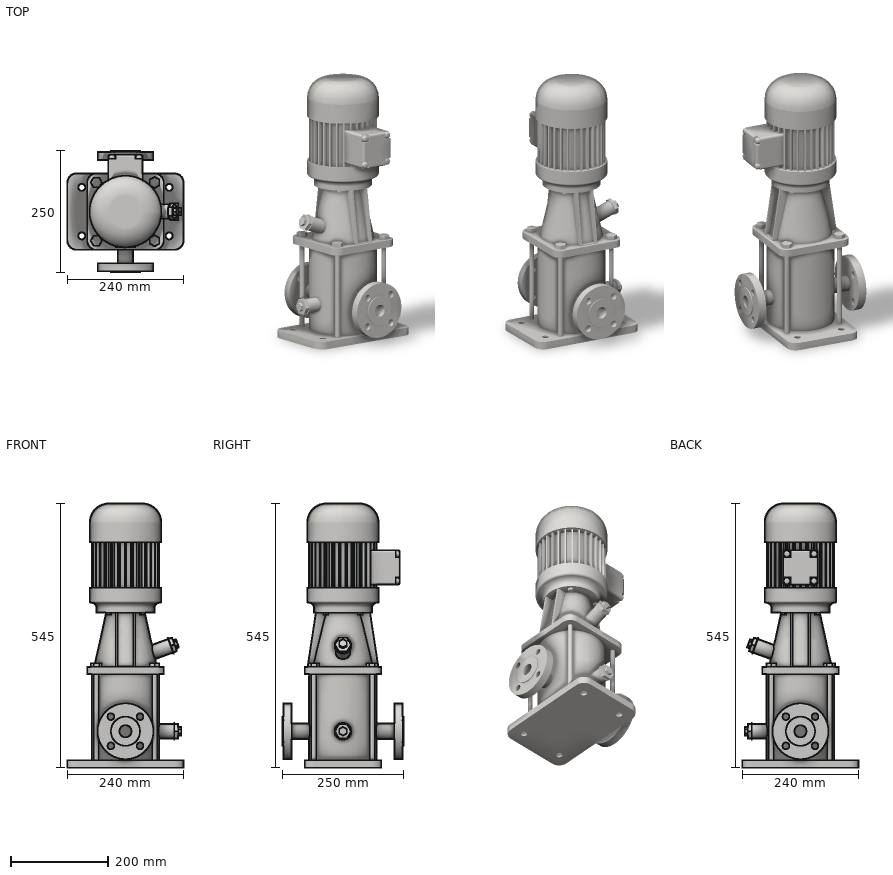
import cadquery as cq
import math

BASE_TOP = 16.0
HEAD_PLATE_BOTTOM = 193.0
HEAD_PLATE_TOP = 208.0
LANTERN_TOP = 320.0
MOTOR_FLANGE_TOP = 330.0
MOTOR_BOTTOM = 340.0
FINS_BOTTOM = 371.0
FINS_TOP = 465.0
TOTAL_HEIGHT = 545.0

BOLT_START_ANGLE = 45
BOLT_COUNT = 4
HEX_FLAT_ANGLE = 30

BASE_LENGTH = 240.0
PLATE_WIDTH = 158.0
PLATE_CORNER_RADIUS = 20.0
BASE_HOLE_DIAMETER = 14.0
BASE_HOLE_X = 90.0
BASE_HOLE_Y = 50.0

TUBE_RADIUS = 70.0
ROD_DIAMETER = 10.0
ROD_OFFSET = 60.0
ROD_NUT_ACROSS_FLATS = 20.0
ROD_NUT_HEIGHT = 8.0

PORT_HEIGHT = 75.5
PORT_END = 125.0
PORT_PIPE_DIAMETER = 32.0
PORT_BORE_DIAMETER = 25.0
FLANGE_DIAMETER = 115.0
FLANGE_THICKNESS = 17.0
RAISED_FACE_DIAMETER = 60.0
RAISED_FACE_HEIGHT = 2.0
FLANGE_HOLE_DIAMETER = 14.0
FLANGE_HOLE_CIRCLE = 85.0

LANTERN_BOTTOM_RADIUS = 65.0
LANTERN_TOP_RADIUS = 40.0
RIB_THICKNESS = 4.0
RIB_OUTER_X = 20.0
RIB_BOTTOM_REACH = 73.0
RIB_TOP_REACH = 56.0
RIB_LEDGE_REACH = 72.0
RIB_LEDGE_HEIGHT = 1.5

MOTOR_RADIUS = 74.0
MOTOR_FLANGE_RADIUS = 60.0
MOTOR_NECK_RADIUS = MOTOR_BOTTOM - MOTOR_FLANGE_TOP
MOTOR_LOWER_ROUND = 4.0
DOME_RADIUS = 40.0
MOTOR_CORE_RADIUS = 60.0
FIN_TIP_RADIUS = 70.0
FIN_THICKNESS = 3.0
FIN_COUNT = 30
FLANGE_BOLT_CIRCLE = 100.0
FLANGE_BOLT_ACROSS_FLATS = 10.0
FLANGE_BOLT_HEIGHT = 5.0

BOX_SIZE = 71.0
BOX_CENTER_HEIGHT = 413.0
BOX_END = 117.0
BOX_SIDE_ROUND = 5.0
BOX_COVER_ROUND = 4.5
COVER_RECESS_SIZE = 15.0
COVER_RECESS_DEPTH = 8.0
COVER_SCREW_DIAMETER = 14.0
COVER_SCREW_ROUND = 4.5

STUB_DIAMETER = 30.0
WASHER_DIAMETER = 34.6
WASHER_THICKNESS = 0.6
PLUG_HEX_ACROSS_FLATS = 30.0
PLUG_HEX_END = 8.5
PLUG_TIP_ACROSS_FLATS = 15.6
PLUG_TIP_END = 15.0
DRAIN_STUB_END = 100.0
DRAIN_STUB_LENGTH = 40.0
VENT_STUB_END_X = 93.0
VENT_STUB_END_Z = 251.6
VENT_STUB_LENGTH = 50.0
VENT_TILT = 20.0


def square_points(half_x, half_y):
    return [(sx * half_x, sy * half_y) for sx in (-1, 1) for sy in (-1, 1)]


def hexagon(plane, across_flats, height, turn=0.0):
    """Hexagonal prism whose corners lie on the plane's X direction before it is turned."""
    across_corners = across_flats / math.cos(math.radians(HEX_FLAT_ANGLE))
    return cq.Workplane(plane).transformed(rotate=(0, 0, turn)).polygon(6, across_corners).extrude(height)


def rounded_plate(length, bottom, top):
    plate = cq.Workplane("XY").workplane(offset=bottom).rect(length, PLATE_WIDTH).extrude(top - bottom)
    return plate.edges("|Z").fillet(PLATE_CORNER_RADIUS)


def make_base():
    holes = (
        cq.Workplane("XY")
        .pushPoints(square_points(BASE_HOLE_X, BASE_HOLE_Y))
        .circle(BASE_HOLE_DIAMETER / 2)
        .extrude(BASE_TOP)
    )
    return rounded_plate(BASE_LENGTH, 0, BASE_TOP).cut(holes)


def make_pump_tube():
    return cq.Workplane("XY").circle(TUBE_RADIUS).extrude(HEAD_PLATE_TOP)


def make_tie_rods():
    rods = (
        cq.Workplane("XY")
        .pushPoints(square_points(ROD_OFFSET, ROD_OFFSET))
        .circle(ROD_DIAMETER / 2)
        .extrude(HEAD_PLATE_TOP)
    )
    for x, y in square_points(ROD_OFFSET, ROD_OFFSET):
        turn = HEX_FLAT_ANGLE if x > 0 else 0
        seat = cq.Plane(origin=(x, y, HEAD_PLATE_TOP))
        rods = rods.union(hexagon(seat, ROD_NUT_ACROSS_FLATS, ROD_NUT_HEIGHT, turn))
    return rods


def make_port():
    """Flanged pipe on the -Y side, bored down to the tube wall."""
    face = cq.Workplane(cq.Plane(origin=(0, -PORT_END, PORT_HEIGHT), xDir=(1, 0, 0), normal=(0, 1, 0)))
    flange_face = face.workplane(offset=RAISED_FACE_HEIGHT)
    port = face.circle(PORT_PIPE_DIAMETER / 2).extrude(PORT_END)
    port = port.union(face.circle(RAISED_FACE_DIAMETER / 2).extrude(RAISED_FACE_HEIGHT))
    port = port.union(flange_face.circle(FLANGE_DIAMETER / 2).extrude(FLANGE_THICKNESS))
    bolt_holes = (
        flange_face.polarArray(FLANGE_HOLE_CIRCLE / 2, BOLT_START_ANGLE, 360, BOLT_COUNT)
        .circle(FLANGE_HOLE_DIAMETER / 2)
        .extrude(FLANGE_THICKNESS)
    )
    bore = face.circle(PORT_BORE_DIAMETER / 2).extrude(PORT_END)
    return port.cut(bolt_holes).cut(bore)


def make_lantern():
    """Cone with two rib pairs, a low ledge joining the feet of each pair."""
    cone = (
        cq.Workplane("XZ")
        .moveTo(0, HEAD_PLATE_TOP)
        .lineTo(LANTERN_BOTTOM_RADIUS, HEAD_PLATE_TOP)
        .lineTo(LANTERN_TOP_RADIUS, LANTERN_TOP)
        .lineTo(0, LANTERN_TOP)
        .close()
        .revolve(360, (0, 0, 0), (0, 1, 0))
    )
    rib_outline = [
        (-RIB_BOTTOM_REACH, HEAD_PLATE_TOP),
        (RIB_BOTTOM_REACH, HEAD_PLATE_TOP),
        (RIB_TOP_REACH, LANTERN_TOP),
        (-RIB_TOP_REACH, LANTERN_TOP),
    ]
    for start in (-RIB_OUTER_X, RIB_OUTER_X - RIB_THICKNESS):
        rib = cq.Workplane("YZ").workplane(offset=start).polyline(rib_outline).close().extrude(RIB_THICKNESS)
        cone = cone.union(rib)
    ledge = (
        cq.Workplane("XY")
        .workplane(offset=HEAD_PLATE_TOP)
        .rect(2 * RIB_OUTER_X - RIB_THICKNESS, 2 * RIB_LEDGE_REACH)
        .extrude(RIB_LEDGE_HEIGHT)
    )
    return cone.union(ledge)


def make_motor_body():
    neck_top = MOTOR_FLANGE_RADIUS + MOTOR_NECK_RADIUS
    diagonal = math.sqrt(0.5)
    neck_middle = (neck_top - MOTOR_NECK_RADIUS * diagonal, MOTOR_FLANGE_TOP + MOTOR_NECK_RADIUS * diagonal)
    round_center = (MOTOR_RADIUS - MOTOR_LOWER_ROUND, MOTOR_BOTTOM + MOTOR_LOWER_ROUND)
    round_middle = (
        round_center[0] + MOTOR_LOWER_ROUND * diagonal,
        round_center[1] - MOTOR_LOWER_ROUND * diagonal,
    )
    dome_center = (MOTOR_RADIUS - DOME_RADIUS, TOTAL_HEIGHT - DOME_RADIUS)
    dome_middle = (dome_center[0] + DOME_RADIUS * diagonal, dome_center[1] + DOME_RADIUS * diagonal)
    return (
        cq.Workplane("XZ")
        .moveTo(0, LANTERN_TOP)
        .lineTo(MOTOR_FLANGE_RADIUS, LANTERN_TOP)
        .lineTo(MOTOR_FLANGE_RADIUS, MOTOR_FLANGE_TOP)
        .threePointArc(neck_middle, (neck_top, MOTOR_BOTTOM))
        .threePointArc(round_middle, (MOTOR_RADIUS, round_center[1]))
        .lineTo(MOTOR_RADIUS, FINS_BOTTOM)
        .lineTo(MOTOR_CORE_RADIUS, FINS_BOTTOM)
        .lineTo(MOTOR_CORE_RADIUS, FINS_TOP)
        .lineTo(MOTOR_RADIUS, FINS_TOP)
        .lineTo(MOTOR_RADIUS, dome_center[1])
        .threePointArc(dome_middle, (dome_center[0], TOTAL_HEIGHT))
        .lineTo(0, TOTAL_HEIGHT)
        .close()
        .revolve(360, (0, 0, 0), (0, 1, 0))
    )


def make_fins():
    """Radial cooling fins, the first one pointing towards -Y."""
    return (
        cq.Workplane("XY")
        .workplane(offset=FINS_BOTTOM)
        .polarArray(FIN_TIP_RADIUS / 2, -90, 360, FIN_COUNT)
        .rect(FIN_TIP_RADIUS, FIN_THICKNESS)
        .extrude(FINS_TOP - FINS_BOTTOM)
    )


def make_motor_flange_bolts():
    bolts = cq.Workplane("XY")
    for index in range(BOLT_COUNT):
        angle = math.radians(BOLT_START_ANGLE + index * 360 / BOLT_COUNT)
        x = FLANGE_BOLT_CIRCLE / 2 * math.cos(angle)
        y = FLANGE_BOLT_CIRCLE / 2 * math.sin(angle)
        seat = cq.Plane(origin=(x, y, LANTERN_TOP - FLANGE_BOLT_HEIGHT))
        bolts = bolts.union(hexagon(seat, FLANGE_BOLT_ACROSS_FLATS, FLANGE_BOLT_HEIGHT))
    return bolts


def make_terminal_box():
    """Box on the +Y side whose cover has a round-headed screw in a recess at each corner."""
    center_plane = cq.Plane(origin=(0, 0, BOX_CENTER_HEIGHT), xDir=(1, 0, 0), normal=(0, 1, 0))
    box = cq.Workplane(center_plane).rect(BOX_SIZE, BOX_SIZE).extrude(BOX_END)
    box = box.edges("|Y").fillet(BOX_SIDE_ROUND)
    box = box.faces(">Y").edges().fillet(BOX_COVER_ROUND)
    recess_floor = cq.Workplane(center_plane).workplane(offset=BOX_END - COVER_RECESS_DEPTH)
    screw_offset = (BOX_SIZE - COVER_RECESS_SIZE) / 2
    corners = recess_floor.pushPoints(square_points(screw_offset, screw_offset))
    recesses = corners.rect(COVER_RECESS_SIZE, COVER_RECESS_SIZE).extrude(COVER_RECESS_DEPTH)
    screws = corners.circle(COVER_SCREW_DIAMETER / 2).extrude(COVER_RECESS_DEPTH)
    screws = screws.faces(">Y").edges().fillet(COVER_SCREW_ROUND)
    return box.cut(recesses.cut(screws))


def make_plug(end, direction, stub_length):
    """Pipe stub running back from its end, closed by a washer, a hexagon and a smaller hexagon."""
    plane = cq.Plane(origin=end, xDir=(0, 1, 0), normal=direction)
    plug = cq.Workplane(plane).circle(STUB_DIAMETER / 2).extrude(-stub_length)
    plug = plug.union(cq.Workplane(plane).circle(WASHER_DIAMETER / 2).extrude(WASHER_THICKNESS))
    plug = plug.union(hexagon(plane, PLUG_HEX_ACROSS_FLATS, PLUG_HEX_END))
    return plug.union(hexagon(plane, PLUG_TIP_ACROSS_FLATS, PLUG_TIP_END, HEX_FLAT_ANGLE))


tilt = math.radians(VENT_TILT)
drain_plug = make_plug((DRAIN_STUB_END, 0, PORT_HEIGHT), (1, 0, 0), DRAIN_STUB_LENGTH)
vent_plug = make_plug(
    (VENT_STUB_END_X, 0, VENT_STUB_END_Z), (math.cos(tilt), 0, math.sin(tilt)), VENT_STUB_LENGTH
)
port = make_port()

result = (
    make_base()
    .union(rounded_plate(PLATE_WIDTH, HEAD_PLATE_BOTTOM, HEAD_PLATE_TOP))
    .union(port)
    .union(port.mirror("XZ"))
    .union(make_pump_tube())
    .union(make_tie_rods())
    .union(make_lantern())
    .union(make_motor_body())
    .union(make_fins())
    .union(make_motor_flange_bolts())
    .union(make_terminal_box())
    .union(drain_plug)
    .union(vent_plug)
)